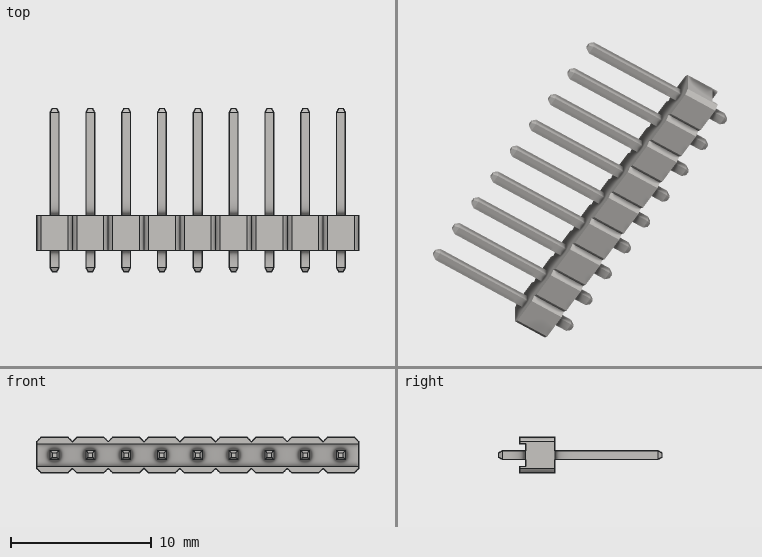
import cadquery as cq

PIN_COUNT = 9
PITCH = 2.54
STRIP_LENGTH = PIN_COUNT * PITCH

STRIP_HEIGHT = PITCH
STRIP_DEPTH = 2.5
CORNER_CUT = 0.32

CHANNEL_HEIGHT = 1.6
CHANNEL_DEPTH = 0.42

PIN_WIDTH = 0.64
PIN_LENGTH = 11.6
FRONT_PROJECTION = 1.5
TIP_LENGTH = 0.3
TIP_WIDTH = PIN_WIDTH / 2

STRIP_FRONT_Y = -STRIP_DEPTH
PIN_FRONT_Y = STRIP_FRONT_Y - FRONT_PROJECTION
PIN_BACK_Y = PIN_FRONT_Y + PIN_LENGTH


def pin_positions():
    first_x = -(PIN_COUNT - 1) * PITCH / 2
    return [first_x + index * PITCH for index in range(PIN_COUNT)]


def make_cell(center_x):
    """One pitch of the strip: a block with its four long edges along Y chamfered."""
    return (
        cq.Workplane("XY")
        .box(PITCH, STRIP_DEPTH, STRIP_HEIGHT)
        .edges("|Y")
        .chamfer(CORNER_CUT)
        .translate((center_x, STRIP_FRONT_Y + STRIP_DEPTH / 2, 0))
    )


def make_strip():
    """Row of cells, whose chamfers meet as V notches, with the channel cut end to end."""
    strip = cq.Workplane("XY")
    for center_x in pin_positions():
        strip = strip.union(make_cell(center_x))
    channel = (
        cq.Workplane("XY")
        .box(STRIP_LENGTH, CHANNEL_DEPTH, CHANNEL_HEIGHT)
        .translate((0, STRIP_FRONT_Y + CHANNEL_DEPTH / 2, 0))
    )
    return strip.cut(channel).clean()


def make_tip(end_y, direction):
    """Square taper from the full pin width down to the tip width at end_y."""
    base_y = end_y - direction * TIP_LENGTH
    base_plane = cq.Plane(origin=(0, base_y, 0), xDir=(1, 0, 0), normal=(0, direction, 0))
    return (
        cq.Workplane(base_plane)
        .rect(PIN_WIDTH, PIN_WIDTH)
        .workplane(offset=TIP_LENGTH)
        .rect(TIP_WIDTH, TIP_WIDTH)
        .loft(ruled=True)
    )


def make_pin():
    """Square pin on X = 0, tapered at both ends."""
    shank = (
        cq.Workplane("XY")
        .box(PIN_WIDTH, PIN_LENGTH - 2 * TIP_LENGTH, PIN_WIDTH)
        .translate((0, (PIN_FRONT_Y + PIN_BACK_Y) / 2, 0))
    )
    return shank.union(make_tip(PIN_FRONT_Y, -1)).union(make_tip(PIN_BACK_Y, 1))


def make_header():
    header = make_strip()
    pin = make_pin()
    for center_x in pin_positions():
        header = header.union(pin.translate((center_x, 0, 0)))
    return header


result = make_header()